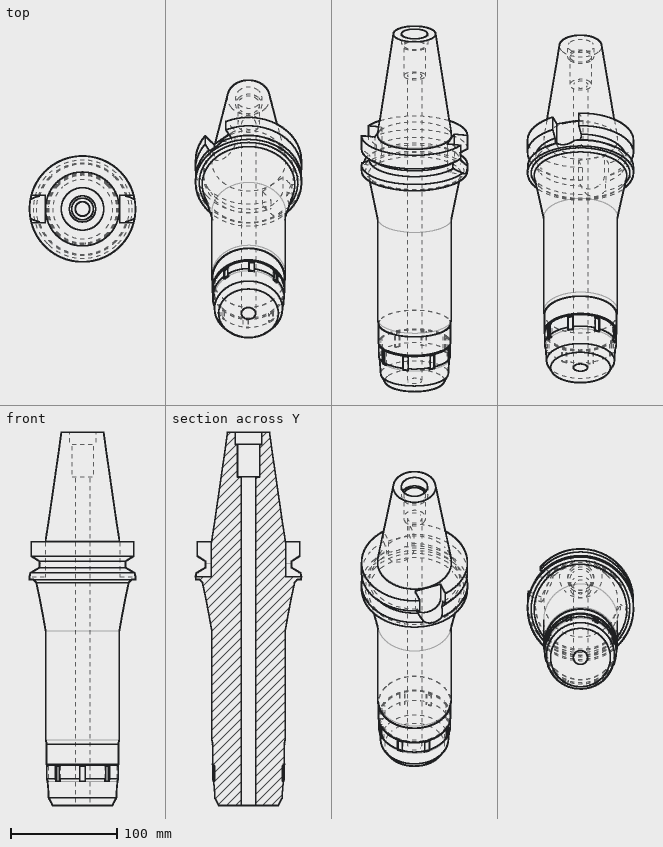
import cadquery as cq


total_height = 351.8

taper_length = 101.5
gauge_radius = 35.0
taper_ratio = 7 / 24
gauge_z = total_height - taper_length
taper_top_radius = gauge_radius - taper_length * taper_ratio / 2

flange_radius = 50.0
flange_top_z = gauge_z - 1.5
upper_rim_height = 13.7
groove_radius = 42.5
groove_side_height = 5.0
groove_floor_height = 6.0
lower_rim_height = 6.5
groove_top_z = flange_top_z - upper_rim_height
groove_bottom_z = groove_top_z - 2 * groove_side_height - groove_floor_height
flange_bottom_z = groove_bottom_z - lower_rim_height

shoulder_radius = 43.5
shoulder_chamfer = 2.8
shoulder_bottom_z = 164.5
body_radius = 35.0
body_bottom_z = 62.3

neck_radius = 33.8
collar_radius = 34.0
collar_top_z = 58.0
collar_bottom_z = 39.0
ring_radius = 33.8
ring_chamfer = 1.0
ring_bottom_z = 23.2
nose_top_radius = 33.0
nose_bottom_radius = 32.0
nose_edge_height = 7.5
nose_face_radius = 28.0

spanner_slot_count = 8
spanner_slot_width = 5.0
spanner_slot_depth = 1.8
spanner_slot_top_gap = 1.8

drive_slot_width = 25.7
drive_slot_floor_x = 35.2
drive_slot_bottom_z = 215.5

mouth_radius = 12.3
mouth_depth = 11.5
thread_radius = 10.2
thread_depth = 42.2
through_radius = 6.7


def revolve_body():
    """Turn the whole outer outline, listed as (radius, z) from the top down."""
    ring_bevel_z = ring_bottom_z + 2 * ring_chamfer
    outline = [
        (0, total_height),
        (taper_top_radius, total_height),
        (gauge_radius, gauge_z),
        (gauge_radius, flange_top_z),
        (flange_radius, flange_top_z),
        (flange_radius, groove_top_z),
        (groove_radius, groove_top_z - groove_side_height),
        (groove_radius, groove_bottom_z + groove_side_height),
        (flange_radius, groove_bottom_z),
        (flange_radius, flange_bottom_z),
        (shoulder_radius + shoulder_chamfer, flange_bottom_z),
        (shoulder_radius, flange_bottom_z - shoulder_chamfer),
        (body_radius, shoulder_bottom_z),
        (body_radius, body_bottom_z),
        (neck_radius, collar_top_z),
        (collar_radius, collar_top_z),
        (collar_radius, collar_bottom_z),
        (ring_radius - ring_chamfer, collar_bottom_z),
        (ring_radius, collar_bottom_z - ring_chamfer),
        (ring_radius, ring_bevel_z),
        (nose_top_radius, ring_bottom_z),
        (nose_bottom_radius, nose_edge_height),
        (nose_face_radius, 0),
        (0, 0),
    ]
    return cq.Workplane("YZ").polyline(outline).close().revolve(360, (0, 0), (0, 1))


def drive_slot(side):
    """Round-bottomed slot through the flange, open at the top; side is +1 or -1 along X."""
    half_width = drive_slot_width / 2
    arc_z = drive_slot_bottom_z + half_width
    return (
        cq.Workplane("YZ", origin=(side * drive_slot_floor_x, 0, 0))
        .moveTo(-half_width, flange_top_z)
        .lineTo(-half_width, arc_z)
        .threePointArc((0, drive_slot_bottom_z), (half_width, arc_z))
        .lineTo(half_width, flange_top_z)
        .close()
        .extrude(side * (flange_radius - drive_slot_floor_x))
    )


def spanner_slot(angle):
    """Flat-floored axial slot in the nut ring, below the collar."""
    floor_radius = ring_radius - spanner_slot_depth
    slot_height = collar_bottom_z - spanner_slot_top_gap - ring_bottom_z
    return (
        cq.Workplane("XY")
        .box(collar_radius - floor_radius, spanner_slot_width, slot_height, centered=(False, True, False))
        .translate((floor_radius, 0, ring_bottom_z))
        .rotate((0, 0, 0), (0, 0, 1), angle)
    )


def bore(radius, depth):
    """Hole on the axis, sunk from the top face."""
    return cq.Workplane("XY", origin=(0, 0, total_height)).circle(radius).extrude(-depth)


result = revolve_body()

for side in (-1, 1):
    result = result.cut(drive_slot(side))

for index in range(spanner_slot_count):
    result = result.cut(spanner_slot(index * 360 / spanner_slot_count))

for radius, depth in (
    (mouth_radius, mouth_depth),
    (thread_radius, thread_depth),
    (through_radius, total_height),
):
    result = result.cut(bore(radius, depth))